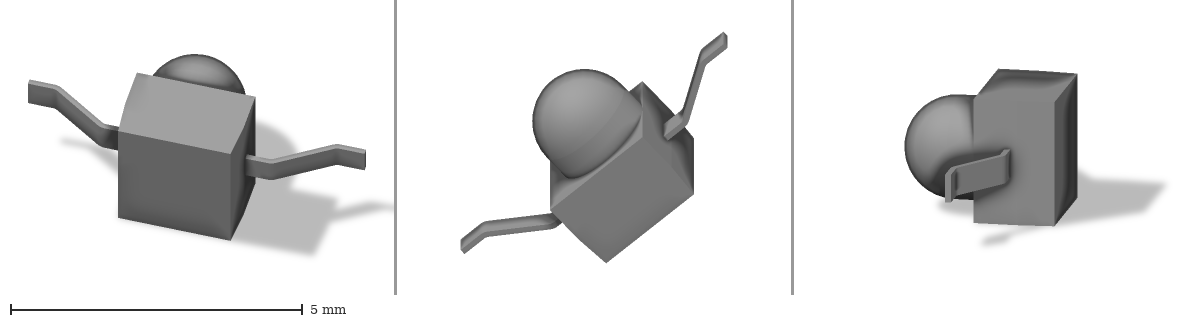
import cadquery as cq
import math

overall_length = 5.99
body_width = 2.11
body_height = 2.2
body_depth = 1.4
taper_depth = 0.645
taper_inset = 0.055

lens_radius = 0.9
lens_straight = 0.48
lens_x = lens_radius - body_width / 2

lead_thickness = 0.1
left_lead_height = 0.49
right_lead_height = 0.42
lead_root_y = 0.755
lead_tip_y = 1.41
root_bend_x = 1.52
tip_bend_x = 2.505
bend_inner_radius = 0.15
bend_outer_radius = bend_inner_radius + lead_thickness


def make_body():
    half_width = body_width / 2
    front_half_width = half_width - taper_inset
    outline = [
        (-front_half_width, 0),
        (front_half_width, 0),
        (half_width, taper_depth),
        (half_width, body_depth),
        (-half_width, body_depth),
        (-half_width, taper_depth),
    ]
    return cq.Workplane("XY").polyline(outline).close().extrude(body_height / 2, both=True)


def make_lens():
    dome_start = body_depth + lens_straight
    dome_top = dome_start + lens_radius
    arc_offset = lens_radius * math.sqrt(0.5)
    return (
        cq.Workplane("XY")
        .moveTo(lens_x, body_depth)
        .lineTo(lens_x + lens_radius, body_depth)
        .lineTo(lens_x + lens_radius, dome_start)
        .threePointArc((lens_x + arc_offset, dome_start + arc_offset), (lens_x, dome_top))
        .close()
        .revolve(360, (lens_x, 0, 0), (lens_x, 1, 0))
    )


def make_right_lead(height):
    bend_angle = math.atan2(lead_tip_y - lead_root_y, tip_bend_x - root_bend_x)
    miter = lead_thickness * math.tan(bend_angle / 2)
    root_x = body_width / 2
    end_x = overall_length / 2
    root_outer = (root_bend_x, lead_root_y)
    tip_inner = (tip_bend_x, lead_tip_y)
    tip_outer = (tip_bend_x - miter, lead_tip_y + lead_thickness)
    root_inner = (root_bend_x - miter, lead_root_y + lead_thickness)
    outline = [
        (root_x, lead_root_y),
        root_outer,
        tip_inner,
        (end_x, lead_tip_y),
        (end_x, lead_tip_y + lead_thickness),
        tip_outer,
        root_inner,
        (root_x, lead_root_y + lead_thickness),
    ]
    lead = cq.Workplane("XY").polyline(outline).close().extrude(height / 2, both=True)
    bends = [
        (root_outer, bend_outer_radius),
        (tip_inner, bend_inner_radius),
        (tip_outer, bend_outer_radius),
        (root_inner, bend_inner_radius),
    ]
    for (x, y), radius in bends:
        lead = lead.edges(cq.NearestToPointSelector((x, y, 0))).fillet(radius)
    return lead


right_lead = make_right_lead(right_lead_height)
left_lead = make_right_lead(left_lead_height).mirror("YZ")
result = make_body().union(make_lens()).union(right_lead).union(left_lead)